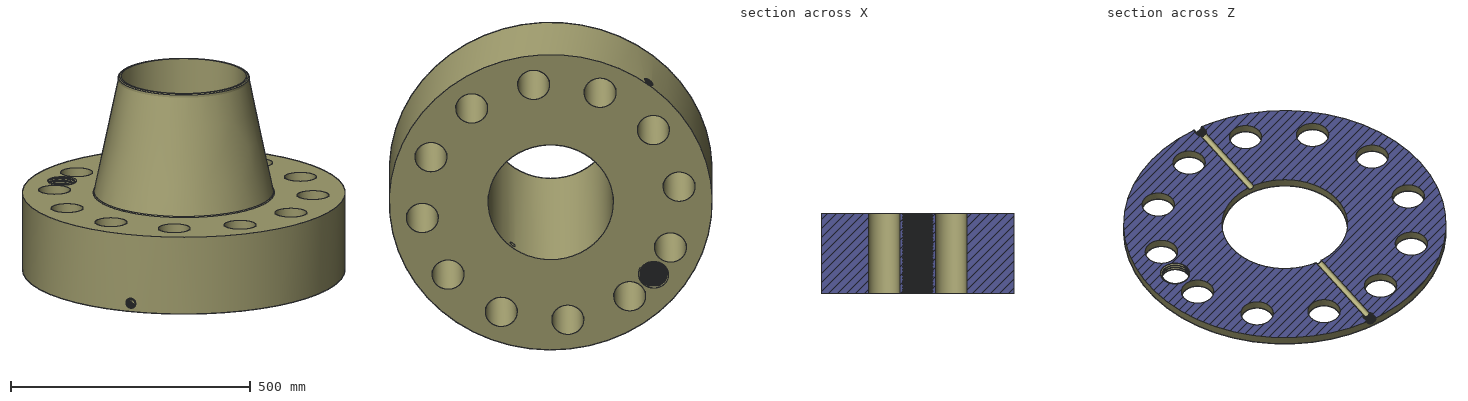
import cadquery as cq

flange_diameter = 673.0
flange_thickness = 167.0
total_height = 419.5

neck_base_radius = 187.0
weld_end_radius = 136.5
weld_end_length = 8.0
weld_bevel_height = 2.0
weld_bevel_width = 3.0
neck_foot_chamfer = 2.0
bore_radius = 130.5

bolt_count = 12
bolt_circle_radius = 270.0
bolt_hole_diameter = 66.5

jack_major_diameter = 63.0
jack_minor_diameter = 57.0
jack_pitch = 6.0

tap_height = 18.0
tap_bore_diameter = 13.0
tap_major_diameter = 21.5
tap_minor_diameter = 18.0
tap_pitch = 2.0
tap_thread_depth = 20.0

groove_mouth_ratio = 0.9
groove_root_ratio = 0.15
groove_overlap_ratio = 0.1
jack_overrun_ratio = 0.65


def make_body():
    """Flange and neck, turned as one profile and bored through."""
    weld_end_base = total_height - weld_end_length
    profile = (
        cq.Workplane("XZ")
        .moveTo(bore_radius, 0)
        .lineTo(flange_diameter / 2, 0)
        .lineTo(flange_diameter / 2, flange_thickness)
        .lineTo(neck_base_radius + neck_foot_chamfer, flange_thickness)
        .lineTo(neck_base_radius, flange_thickness + neck_foot_chamfer)
        .lineTo(weld_end_radius, weld_end_base)
        .lineTo(weld_end_radius, total_height - weld_bevel_height)
        .lineTo(weld_end_radius - weld_bevel_width, total_height)
        .lineTo(bore_radius, total_height)
        .close()
    )
    return profile.revolve(360, (0, 0, 0), (0, 1, 0))


def make_bolt_holes():
    """Through holes straddling the X and Y axes."""
    return (
        cq.Workplane("XY")
        .polarArray(bolt_circle_radius, 180 / bolt_count, 360, bolt_count)
        .circle(bolt_hole_diameter / 2)
        .extrude(flange_thickness)
    )


def make_thread(minor_diameter, major_diameter, pitch, end):
    """Helical thread groove around Z, from one pitch below z = 0 up to z = end."""
    inner_radius = minor_diameter / 2 - groove_overlap_ratio * pitch
    outer_radius = major_diameter / 2
    half_mouth = groove_mouth_ratio * pitch / 2
    half_root = groove_root_ratio * pitch / 2
    helix = cq.Wire.makeHelix(pitch, end + pitch, minor_diameter / 2)
    groove = (
        cq.Workplane("XZ")
        .moveTo(inner_radius, -half_mouth)
        .lineTo(outer_radius, -half_root)
        .lineTo(outer_radius, half_root)
        .lineTo(inner_radius, half_mouth)
        .close()
        .sweep(cq.Workplane(helix), isFrenet=True)
    )
    return groove.translate((0, 0, -pitch))


def cut_jack_hole(body):
    """Tap the jack screw hole through the full flange thickness."""
    position = (-bolt_circle_radius, 0, 0)
    hole = cq.Workplane("XY").circle(jack_minor_diameter / 2).extrude(flange_thickness)
    thread_end = flange_thickness + jack_overrun_ratio * jack_pitch
    thread = make_thread(jack_minor_diameter, jack_major_diameter, jack_pitch, thread_end)
    thread = thread.rotate((0, 0, 0), (0, 0, 1), 180)
    return body.cut(hole.translate(position)).cut(thread.translate(position))


def cut_pressure_taps(body):
    """Drill one passage across the flange and tap both of its outer ends."""
    passage = (
        cq.Workplane("XZ")
        .center(0, tap_height)
        .circle(tap_bore_diameter / 2)
        .extrude(flange_diameter / 2, both=True)
    )
    body = body.cut(passage)
    hole = cq.Workplane("XY").circle(tap_minor_diameter / 2).extrude(tap_thread_depth)
    thread_end = tap_thread_depth - tap_pitch
    thread = make_thread(tap_minor_diameter, tap_major_diameter, tap_pitch, thread_end)
    for side_angle in (0, 180):
        for cutter in (hole, thread):
            placed = (
                cutter.rotate((0, 0, 0), (1, 0, 0), -90)
                .translate((0, -flange_diameter / 2, tap_height))
                .rotate((0, 0, 0), (0, 0, 1), side_angle)
            )
            body = body.cut(placed)
    return body


flange = make_body().cut(make_bolt_holes())
flange = cut_jack_hole(flange)
result = cut_pressure_taps(flange).solids()